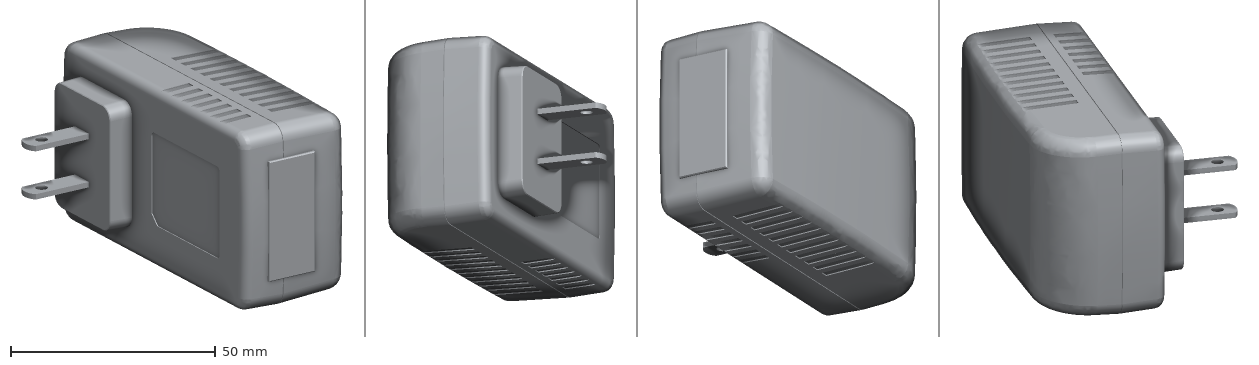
import cadquery as cq


CASE_LENGTH = 83.3
CASE_WIDTH = 47.24
FRONT_DEPTH = 11.4
BACK_DEPTH = 20.2
END_BULGE = 1.0
DRAFT = 2.0
CORNER_RADIUS = 4.0
FRONT_EDGE_RADIUS = 2.5
BACK_EDGE_RADIUS = 4.0
SHOULDER_RADIUS = 14.0
DOME_RADIUS = 700.0
DOME_CROWN_X = -1.0
DOME_ALLOWANCE = 1.0

SEAM_WIDTH = 0.25
SEAM_DEPTH = 0.2

SLOT_WIDTH = 2.2
SLOT_PITCH = 4.284
SLOT_DEPTH = 0.28
LAST_SLOT_X = 29.15
BACK_SLOT_COUNT = 11
FRONT_SLOT_COUNT = 7
BACK_SLOT_START = 3.85
FRONT_SLOT_START = 2.15

PLUG_X = -21.45
BOSS_LENGTH = 25.2
BOSS_WIDTH = 33.1
BOSS_HEIGHT = 6.35
BOSS_CORNER_RADIUS = 3.3
BOSS_DRAFT = 2.0
BOSS_EDGE_CHAMFER = 0.2
BLADE_WIDTH = 6.2
BLADE_THICKNESS = 1.4
BLADE_SPACING = 12.6
BLADE_TIP_Y = -34.51
BLADE_TIP_RISE = 1.2
BLADE_HOLE_DIAMETER = 3.1
BLADE_HOLE_Y = -29.6

LABEL_X = 15.0
LABEL_LENGTH = 30.2
LABEL_WIDTH = 24.0
LABEL_DEPTH = 0.25
LABEL_CORNER_RADIUS = 1.2
LABEL_KEY_CHAMFER = 2.5

PAD_DEPTH = 13.5
PAD_WIDTH = 31.4
PAD_Y = 2.2
PAD_STANDOFF = 0.15
PAD_ROOT = 3.0
PAD_CHAMFER = 0.25

HALF_LENGTH = CASE_LENGTH / 2
HALF_WIDTH = CASE_WIDTH / 2
BOSS_END_Y = -FRONT_DEPTH - BOSS_HEIGHT


def xz_plane(y):
    """Plane at height y whose local axes are X and Z and whose normal is -Y."""
    return cq.Workplane("XZ", origin=(0, y, 0))


def case_outline():
    """Case outline in the parting plane: straight sides and bowed ends."""
    corner_x = HALF_LENGTH - END_BULGE
    return (
        xz_plane(0)
        .moveTo(-corner_x, -HALF_WIDTH)
        .lineTo(corner_x, -HALF_WIDTH)
        .threePointArc((HALF_LENGTH, 0), (corner_x, HALF_WIDTH))
        .lineTo(-corner_x, HALF_WIDTH)
        .threePointArc((-HALF_LENGTH, 0), (-corner_x, -HALF_WIDTH))
        .close()
    )


def front_half():
    half = case_outline().extrude(FRONT_DEPTH, taper=DRAFT)
    half = half.edges("not(<Y or >Y)").fillet(CORNER_RADIUS)
    return half.faces("<Y").edges().fillet(FRONT_EDGE_RADIUS)


def back_half():
    half = case_outline().extrude(-BACK_DEPTH - DOME_ALLOWANCE, taper=DRAFT)
    dome = (
        cq.Workplane("XY")
        .center(DOME_CROWN_X, BACK_DEPTH - DOME_RADIUS)
        .circle(DOME_RADIUS)
        .extrude(CASE_WIDTH, both=True)
    )
    half = half.intersect(dome)
    half = half.faces(">Y").edges("<X").fillet(SHOULDER_RADIUS)
    return half.edges("not(<Y)").fillet(BACK_EDGE_RADIUS)


def seam_groove():
    """Ring that cuts the shallow groove following the case outline at the parting plane."""
    start = xz_plane(SEAM_WIDTH / 2)
    oversize = start.rect(2 * CASE_LENGTH, 2 * CASE_WIDTH).extrude(SEAM_WIDTH)
    core = (
        case_outline()
        .offset2D(-SEAM_DEPTH)
        .extrude(SEAM_WIDTH / 2, both=True)
        .edges("|Y")
        .fillet(CORNER_RADIUS - SEAM_DEPTH)
    )
    return oversize.cut(core)


def slot_row(count, start, direction):
    """Slot cutters on the +Z side, tilted so that their floors run parallel to the drafted wall.

    direction is +1 for the back half and -1 for the front half. Each slot runs out through
    the rounded edge of the case.
    """
    row = cq.Workplane("XY")
    for index in range(count):
        slot = cq.Workplane("XY").box(SLOT_WIDTH, BACK_DEPTH, HALF_WIDTH, centered=(True, False, False))
        slot = slot.translate((LAST_SLOT_X - index * SLOT_PITCH, start, -SLOT_DEPTH))
        row = row.add(slot)
    row = row.combine().rotate((0, 0, 0), (1, 0, 0), -DRAFT).translate((0, 0, HALF_WIDTH))
    return row if direction > 0 else row.mirror("XZ")


def plug_boss():
    boss = (
        xz_plane(-FRONT_DEPTH)
        .center(PLUG_X, 0)
        .rect(BOSS_LENGTH, BOSS_WIDTH)
        .extrude(BOSS_HEIGHT, taper=BOSS_DRAFT)
        .edges("not(<Y or >Y)")
        .fillet(BOSS_CORNER_RADIUS)
    )
    return boss.faces("<Y").chamfer(BOSS_EDGE_CHAMFER)


def blade():
    """Flat blade with an arched tip and a through hole, centred on Z = 0."""
    left = PLUG_X - BLADE_WIDTH / 2
    right = PLUG_X + BLADE_WIDTH / 2
    shoulder_y = BLADE_TIP_Y + BLADE_TIP_RISE
    outline = (
        cq.Workplane("XY")
        .moveTo(left, BOSS_END_Y)
        .lineTo(left, shoulder_y)
        .threePointArc((PLUG_X, BLADE_TIP_Y), (right, shoulder_y))
        .lineTo(right, BOSS_END_Y)
        .close()
        .extrude(BLADE_THICKNESS / 2, both=True)
    )
    hole = (
        cq.Workplane("XY")
        .center(PLUG_X, BLADE_HOLE_Y)
        .circle(BLADE_HOLE_DIAMETER / 2)
        .extrude(BLADE_THICKNESS, both=True)
    )
    return outline.cut(hole)


def label_recess():
    """Shallow rectangular recess with three rounded corners and one keyed corner at -X, -Z."""
    recess = (
        xz_plane(-FRONT_DEPTH + LABEL_DEPTH)
        .center(LABEL_X, 0)
        .rect(LABEL_LENGTH, LABEL_WIDTH)
        .extrude(LABEL_DEPTH)
    )
    recess = recess.edges("|Y and <X and <Z").chamfer(LABEL_KEY_CHAMFER)
    return recess.edges("|Y and (>X or >Z)").fillet(LABEL_CORNER_RADIUS)


def end_pad():
    pad = (
        cq.Workplane("YZ", origin=(HALF_LENGTH - PAD_ROOT, PAD_Y, 0))
        .rect(PAD_DEPTH, PAD_WIDTH)
        .extrude(PAD_ROOT + PAD_STANDOFF)
    )
    return pad.faces(">X").chamfer(PAD_CHAMFER)


case = front_half().union(back_half())
case = case.cut(seam_groove())
case = case.cut(label_recess())
back_slots = slot_row(BACK_SLOT_COUNT, BACK_SLOT_START, 1)
front_slots = slot_row(FRONT_SLOT_COUNT, FRONT_SLOT_START, -1)
for slots in (back_slots, front_slots):
    case = case.cut(slots).cut(slots.mirror("XY"))

result = case.union(end_pad()).union(plug_boss())
for side in (-1, 1):
    result = result.union(blade().translate((0, 0, side * BLADE_SPACING / 2)))